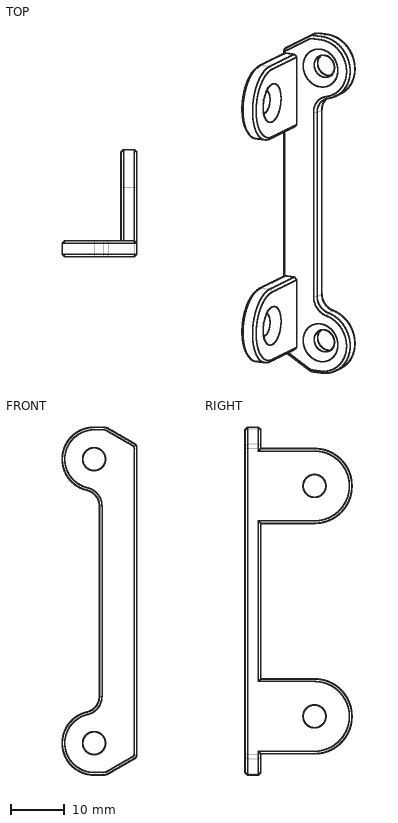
import cadquery as cq
import math

width = 14.0
depth = 20.0
height = 65.0
thickness = 3.0
edge_chamfer = 0.5

ear_radius = 6.0
neck_width = 7.0
neck_fillet = 3.0
slope_start = 8.2
slope_angle = 30.0
slope_fillet = 2.0
outer_corner_fillet = 1.0

tab_radius = 7.0
tab_spacing = 43.0

hole_diameter = 4.2
countersink_diameter = 7.3
countersink_angle = 90.0

half_height = height / 2
ear_z = half_height - ear_radius
tab_hole_y = depth - tab_radius


def half_plate():
    """Upper half of the plate, from mid-height to the end of the ear."""
    neck_x = width - neck_width
    slope_drop = (width - slope_start) * math.tan(math.radians(slope_angle))

    arc_x = neck_x - neck_fillet
    center_distance = ear_radius + neck_fillet
    arc_dx = arc_x - ear_radius
    arc_dz = -math.sqrt(center_distance**2 - arc_dx**2)
    arc_z = ear_z + arc_dz
    ear_share = ear_radius / center_distance
    tangent_point = (ear_radius + arc_dx * ear_share, ear_z + arc_dz * ear_share)
    middle_angle = math.atan2(-arc_dz, -arc_dx) / 2
    arc_middle = (
        arc_x + neck_fillet * math.cos(middle_angle),
        arc_z + neck_fillet * math.sin(middle_angle),
    )

    plate = (
        cq.Workplane("XZ")
        .moveTo(width, 0)
        .lineTo(width, half_height - slope_drop)
        .lineTo(slope_start, half_height)
        .lineTo(ear_radius, half_height)
        .threePointArc((0, ear_z), tangent_point)
        .threePointArc(arc_middle, (neck_x, arc_z))
        .lineTo(neck_x, 0)
        .close()
        .extrude(-thickness)
    )
    slope_corner = cq.selectors.NearestToPointSelector((slope_start, thickness / 2, half_height))
    outer_corner = cq.selectors.NearestToPointSelector(
        (width, thickness / 2, half_height - slope_drop)
    )
    plate = plate.edges("|Y").edges(slope_corner).fillet(slope_fillet)
    return plate.edges("|Y").edges(outer_corner).fillet(outer_corner_fillet)


def ear_plate():
    upper = half_plate()
    plate = upper.union(upper.mirror("XY")).clean()
    return plate.faces("<Y or >Y").edges().chamfer(edge_chamfer)


def tab(center_z):
    """Round-ended tab, rooted at mid-thickness of the plate."""
    root_y = thickness / 2
    blank = (
        cq.Workplane("YZ", origin=(width - thickness, 0, 0))
        .moveTo(root_y, center_z - tab_radius)
        .lineTo(tab_hole_y, center_z - tab_radius)
        .threePointArc((depth, center_z), (tab_hole_y, center_z + tab_radius))
        .lineTo(root_y, center_z + tab_radius)
        .close()
        .extrude(thickness)
    )
    return blank.faces("<X or >X").edges("not(<Y)").chamfer(edge_chamfer)


def countersunk_hole(entry, direction):
    """Cutter for a countersunk through hole, starting at its wide end."""
    hole_radius = hole_diameter / 2
    sink_radius = countersink_diameter / 2
    sink_depth = (sink_radius - hole_radius) / math.tan(math.radians(countersink_angle / 2))
    start = cq.Vector(*entry)
    axis = cq.Vector(*direction)
    bore = cq.Solid.makeCylinder(hole_radius, thickness, start, axis)
    cone = cq.Solid.makeCone(sink_radius, hole_radius, sink_depth, start, axis)
    return cq.Workplane(bore).union(cq.Workplane(cone))


result = ear_plate()
for side in (-1, 1):
    tab_z = side * tab_spacing / 2
    tab_hole = countersunk_hole((width - thickness, tab_hole_y, tab_z), (1, 0, 0))
    ear_hole = countersunk_hole((ear_radius, thickness, side * ear_z), (0, -1, 0))
    result = result.union(tab(tab_z)).cut(tab_hole).cut(ear_hole)